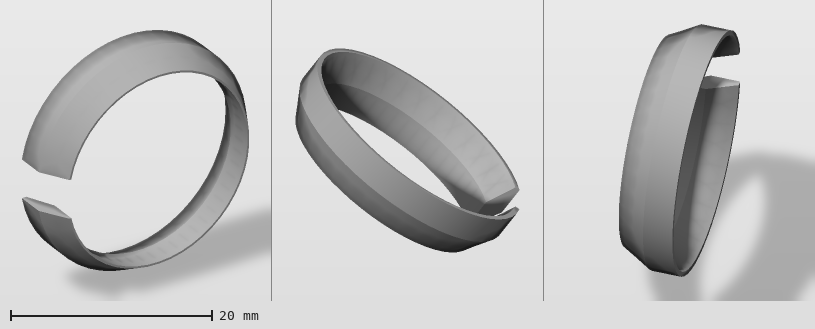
import cadquery as cq

outer_radius = 12.5
ring_length = 6.0
step_position = 3.02
mouth_wall = 0.5
tip_wall = 0.22
bore_radius = 10.62
gap_width = 4.45

mouth_radius = outer_radius - mouth_wall
tip_radius = bore_radius + tip_wall

wall_section = [
    (0, mouth_radius),
    (0, outer_radius),
    (step_position, outer_radius),
    (ring_length, tip_radius),
    (ring_length, bore_radius),
    (step_position, bore_radius),
]
ring = cq.Workplane("XY").polyline(wall_section).close().revolve(360, (0, 0, 0), (1, 0, 0))

gap_depth = 2 * outer_radius
gap = cq.Workplane("XY").box(ring_length, gap_depth, gap_width, centered=(False, True, True))
gap = gap.translate((0, -gap_depth / 2, 0))

result = ring.cut(gap)